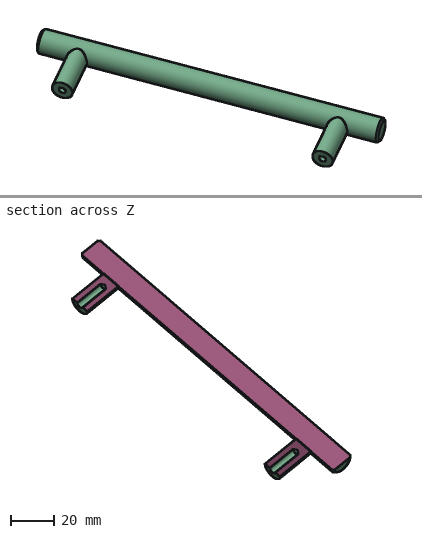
import cadquery as cq
import math

bar_length = 168.0
bar_diameter = 12.0
end_chamfer = 1.0
overall_depth = 32.0
post_diameter = 10.0
post_spacing = 128.0
hole_diameter = 3.4
hole_depth = 15.1
drill_point_angle = 118

bar_radius = bar_diameter / 2
post_end_y = bar_radius - overall_depth
hole_radius = hole_diameter / 2
drill_point_length = hole_radius / math.tan(math.radians(drill_point_angle / 2))


def make_bar():
    """Round grip bar with chamfered ends, centred on the origin."""
    return (
        cq.Workplane("YZ", origin=(-bar_length / 2, 0, 0))
        .circle(bar_radius)
        .extrude(bar_length)
        .faces("<X or >X")
        .chamfer(end_chamfer)
    )


def make_screw_hole(x):
    """Drilled hole volume with a conical bottom, opening at the free end of a post."""
    hole_bottom_y = post_end_y + hole_depth
    profile = (
        cq.Workplane("XY", origin=(x, 0, 0))
        .moveTo(0, post_end_y)
        .lineTo(hole_radius, post_end_y)
        .lineTo(hole_radius, hole_bottom_y)
        .lineTo(0, hole_bottom_y + drill_point_length)
        .close()
    )
    return profile.revolve(360, (0, 0, 0), (0, 1, 0))


def make_post(x, bar):
    """Round post with a blind screw hole, its inner end fitted to the bar."""
    post = cq.Workplane("XZ").center(x, 0).circle(post_diameter / 2).extrude(-post_end_y)
    return post.cut(bar).cut(make_screw_hole(x))


bar = make_bar()
posts = [make_post(side * post_spacing / 2, bar) for side in (-1, 1)]

result = cq.Compound.makeCompound([bar.val(), *[post.val() for post in posts]])